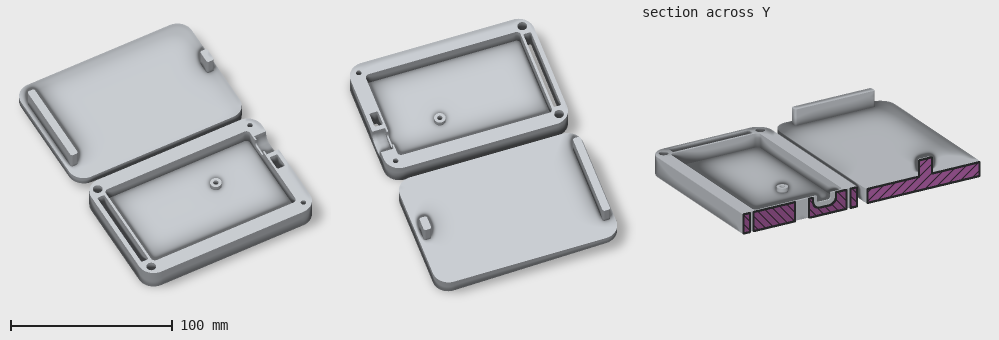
import cadquery as cq

plate_width = 82.7
plate_length = 120.0
corner_radius = 10.1
total_width = 171.6
lid_offset_y = -1.4
lid_lift = 0.3
case_x = total_width - plate_width

lid_back_thickness = 10.0
lid_front_thickness = 5.0
lid_top_to_tab_top = 11.0
tab_depth = 5.0
tab_edge_gap = 3.0
tab_corner_radius = 1.4
long_tab_width = 57.7
short_tab_width = 9.8
short_tab_offset_x = 1.4

case_height = 13.2
cavity_wall = 9.5
cavity_floor = 3.8
cavity_corner_radius = 2.5
slot_corner_radius = 0.9
short_slot_clearance = 0.5
corner_hole_inset = 6.5
front_hole_diameter = 6.0
back_hole_diameter = 3.5

boss_x = 32.1
boss_from_back = 44.3
boss_diameter = 7.2
boss_hole_diameter = 3.3
boss_height = 3.1

notch_x = 23.7
port_width = 10.1
port_depth = 4.6
port_corner_radius = 1.7
recess_margin = 3.1
recess_length = 8.4


def rounded_block(width, length, height, radius, center_x, center_y, bottom=0.0):
    """Block with rounded upright edges, centred in plan and standing on bottom."""
    block = cq.Workplane("XY").box(width, length, height, centered=(True, True, False))
    return block.edges("|Z").fillet(radius).translate((center_x, center_y, bottom))


def cylinder(diameter, height, x, y, bottom=0.0):
    return cq.Workplane("XY", origin=(x, y, bottom)).circle(diameter / 2).extrude(height)


def notch_cutter(width, depth, radius, length):
    """Open-topped channel from the back face, rounded along its two bottom edges."""
    block = cq.Workplane("XY").box(width, length, depth, centered=(True, False, False))
    return block.edges("|Y and <Z").fillet(radius).translate(
        (notch_x, plate_length - length, case_height - depth)
    )


def make_lid():
    middle_x = plate_width / 2
    lid = rounded_block(
        plate_width, plate_length, lid_back_thickness, corner_radius, middle_x, plate_length / 2
    )
    front_rise = lid_back_thickness - lid_front_thickness
    wedge = (
        cq.Workplane("YZ")
        .polyline([(0, 0), (plate_length, 0), (0, front_rise)])
        .close()
        .extrude(plate_width)
    )
    lid = lid.cut(wedge)

    tab_inset = tab_edge_gap + tab_depth / 2
    tabs = [
        (long_tab_width, middle_x, tab_inset),
        (short_tab_width, middle_x - short_tab_offset_x, plate_length - tab_inset),
    ]
    for width, x, y in tabs:
        height = lid_front_thickness + lid_top_to_tab_top
        lid = lid.union(rounded_block(width, tab_depth, height, tab_corner_radius, x, y, front_rise))
    return lid.translate((0, lid_offset_y, lid_lift))


def make_case():
    middle_x = plate_width / 2
    middle_y = plate_length / 2
    case = rounded_block(
        plate_width, plate_length, case_height, corner_radius, middle_x, middle_y
    )
    cavity_width = plate_width - 2 * cavity_wall
    cavity_length = plate_length - 2 * cavity_wall
    cavity_depth = case_height - cavity_floor
    case = case.cut(
        rounded_block(
            cavity_width, cavity_length, cavity_depth, cavity_corner_radius,
            middle_x, middle_y, cavity_floor,
        )
    )

    slot_inset = tab_edge_gap + tab_depth / 2
    slots = [
        (long_tab_width, tab_depth, middle_x, slot_inset),
        (
            short_tab_width + short_slot_clearance,
            tab_depth + short_slot_clearance,
            middle_x - short_tab_offset_x,
            plate_length - slot_inset,
        ),
    ]
    for width, length, x, y in slots:
        case = case.cut(rounded_block(width, length, case_height, slot_corner_radius, x, y))

    for x in (corner_hole_inset, plate_width - corner_hole_inset):
        case = case.cut(cylinder(front_hole_diameter, case_height, x, corner_hole_inset))
        back_y = plate_length - corner_hole_inset
        case = case.cut(cylinder(back_hole_diameter, case_height, x, back_y))

    boss_y = plate_length - boss_from_back
    boss_top = cavity_floor + boss_height
    case = case.union(cylinder(boss_diameter, boss_height, boss_x, boss_y, cavity_floor))
    case = case.cut(cylinder(boss_hole_diameter, boss_top, boss_x, boss_y))

    port = notch_cutter(port_width, port_depth, port_corner_radius, cavity_wall)
    recess = notch_cutter(
        port_width + 2 * recess_margin,
        port_depth + recess_margin,
        port_corner_radius + recess_margin,
        recess_length,
    )
    return case.cut(port).cut(recess).translate((case_x, 0, 0))


lid = make_lid()
case = make_case()
result = cq.Compound.makeCompound([lid.val(), case.val()])